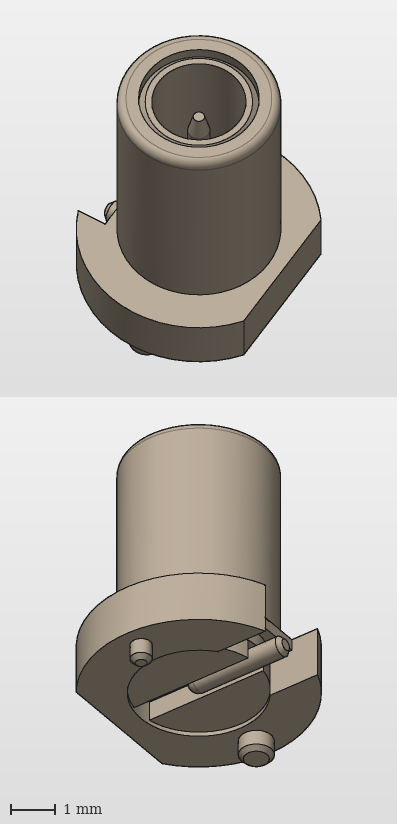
import cadquery as cq

total_height = 6.75
peg_length = 0.5
barrel_top = total_height - peg_length

flange_radius = 2.75
flange_height = 1.295
flat_distance = 2.2

notch_width = 2.0
notch_depth_x = -1.85
web_height = 0.3
web_bottom = flange_height - web_height

barrel_radius = 1.835
rim_fillet = 0.2
sleeve_radius = 1.35
sleeve_bore_radius = 1.05
sleeve_setback = 0.13
sleeve_chamfer = 0.15
sleeve_top = barrel_top - sleeve_setback
cavity_floor = flange_height

plug_radius = 1.6
plug_setback = 0.115
pocket_width = 0.58
pocket_top = 0.62

pin_radius = 0.25
pin_centre_height = 0.3
pin_reach = 2.4
pin_end_chamfer = 0.11
tip_radius = 0.13
tip_setback = 0.695
tip_taper_length = 0.5
shoulder_radius = 0.45
shoulder_chamfer = 0.095
shoulder_setback = 2.025
tip_top = barrel_top - tip_setback
shoulder_top = barrel_top - shoulder_setback

peg_offset = 2.2
large_peg_radius = 0.405
small_peg_radius = 0.25
peg_chamfer = 0.115


def cylinder(radius, bottom, top):
    """Upright cylinder on the Z axis."""
    return cq.Workplane("XY").workplane(offset=bottom).circle(radius).extrude(top - bottom)


def block(x_min, x_max, width, bottom, top):
    """Box centred on the XZ plane."""
    size = (x_max - x_min, width, top - bottom)
    corner = (x_min, -width / 2, bottom)
    return cq.Workplane("XY").box(*size, centered=False).translate(corner)


def make_flange():
    disc = cylinder(flange_radius, 0, flange_height)
    kept = block(-flange_radius, flat_distance, 2 * flange_radius, 0, flange_height)
    notch = block(-flange_radius, notch_depth_x, notch_width, 0, flange_height)
    under_web = block(notch_depth_x, 0, notch_width, 0, web_bottom)
    return disc.intersect(kept).cut(notch).cut(under_web)


def make_barrel():
    barrel = cylinder(barrel_radius, flange_height, barrel_top)
    barrel = barrel.faces(">Z").edges().fillet(rim_fillet)
    return barrel.cut(cylinder(sleeve_radius, cavity_floor, barrel_top))


def make_sleeve():
    sleeve = cylinder(sleeve_radius, cavity_floor, sleeve_top)
    sleeve = sleeve.faces(">Z").edges().chamfer(sleeve_chamfer)
    return sleeve.cut(cylinder(sleeve_bore_radius, cavity_floor, sleeve_top))


def make_plug():
    plug = cylinder(plug_radius, plug_setback, web_bottom)
    pocket = block(-plug_radius, plug_radius, pocket_width, plug_setback, pocket_top)
    return plug.cut(pocket)


def make_contact():
    upright = cylinder(pin_radius, pin_centre_height, tip_top)
    upright = upright.faces(">Z").edges().chamfer(tip_taper_length, pin_radius - tip_radius)
    shoulder = cylinder(shoulder_radius, cavity_floor, shoulder_top)
    shoulder = shoulder.faces(">Z").edges().chamfer(shoulder_chamfer)
    elbow = cq.Workplane("XY").sphere(pin_radius).translate((0, 0, pin_centre_height))
    tail = cq.Workplane("YZ").center(0, pin_centre_height).circle(pin_radius).extrude(-pin_reach)
    tail = tail.faces("<X").edges().chamfer(pin_end_chamfer)
    return upright.union(shoulder).union(elbow).union(tail)


def make_peg(radius, y):
    peg = cylinder(radius, -peg_length, 0)
    peg = peg.faces("<Z").edges().chamfer(peg_chamfer)
    return peg.translate((0, y, 0))


flange = make_flange().cut(cylinder(plug_radius, 0, web_bottom))
housing = flange.union(make_plug()).union(make_barrel()).union(make_sleeve())
pegs = make_peg(large_peg_radius, -peg_offset).union(make_peg(small_peg_radius, peg_offset))
result = housing.union(make_contact()).union(pegs)